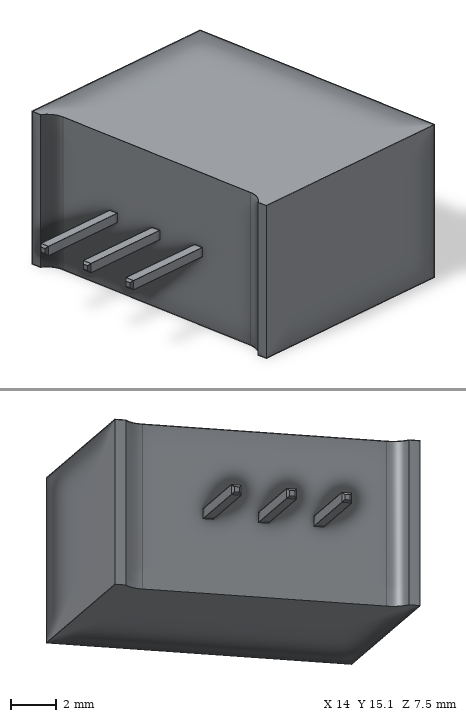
import cadquery as cq
import math

width = 14.0
overall_depth = 15.1
housing_depth = 11.0
height = 7.5
foot_width = 0.5
recess_depth = 0.5
cove_width = 0.9

pin_count = 3
pin_pitch = 2.54
pin_side = 0.45
pin_tip_chamfer = 0.1
pin_row_x = -0.05
pin_row_z = 3.62

back_y = housing_depth
floor_y = recess_depth
tip_y = housing_depth - overall_depth
half_width = width / 2
foot_edge_x = half_width - foot_width
floor_edge_x = foot_edge_x - cove_width

cove_radius = (cove_width**2 + recess_depth**2) / (2 * recess_depth)
cove_half_angle = math.asin(cove_width / cove_radius) / 2
cove_mid_x = floor_edge_x + cove_radius * math.sin(cove_half_angle)
cove_mid_y = floor_y - cove_radius * (1 - math.cos(cove_half_angle))


def make_housing():
    """Block with the coved recess running through its full height."""
    return (
        cq.Workplane("XY")
        .moveTo(-half_width, back_y)
        .lineTo(-half_width, 0)
        .lineTo(-foot_edge_x, 0)
        .threePointArc((-cove_mid_x, cove_mid_y), (-floor_edge_x, floor_y))
        .lineTo(floor_edge_x, floor_y)
        .threePointArc((cove_mid_x, cove_mid_y), (foot_edge_x, 0))
        .lineTo(half_width, 0)
        .lineTo(half_width, back_y)
        .close()
        .extrude(height)
    )


def make_pin(x):
    """Square pin from the recess floor to its chamfered tip."""
    pin_length = floor_y - tip_y
    return (
        cq.Workplane("XZ", origin=(x, floor_y, pin_row_z))
        .rect(pin_side, pin_side)
        .extrude(pin_length)
        .faces("<Y")
        .chamfer(pin_tip_chamfer)
    )


housing = make_housing()

pins = []
for index in range(pin_count):
    pin_x = pin_row_x + (index - (pin_count - 1) / 2) * pin_pitch
    pins.append(make_pin(pin_x))

result = cq.Compound.makeCompound([housing.val(), *[pin.val() for pin in pins]])